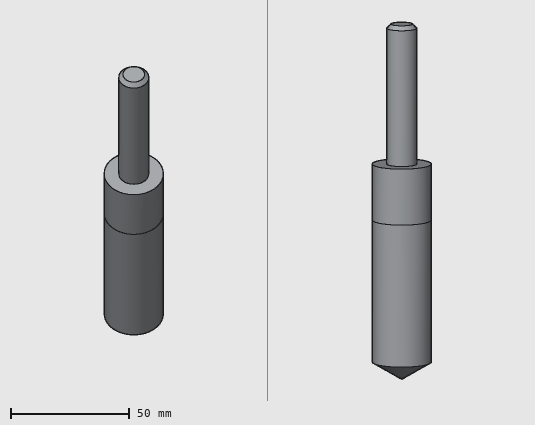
import cadquery as cq
import math

overall_length = 152.4
body_diameter = 25.0
shank_diameter = 12.7
shank_length = 60.0
shank_chamfer = 1.8
collar_length = 24.0
tip_angle = 118.0

body_radius = body_diameter / 2
shank_radius = shank_diameter / 2
tip_length = body_radius / math.tan(math.radians(tip_angle / 2))
collar_top = overall_length - shank_length
collar_bottom = collar_top - collar_length


def make_cutter():
    """Cylinder with a conical point whose tip is at the origin."""
    half_section = (
        cq.Workplane("XZ")
        .moveTo(0, 0)
        .lineTo(body_radius, tip_length)
        .lineTo(body_radius, collar_bottom)
        .lineTo(0, collar_bottom)
        .close()
    )
    return half_section.revolve(360, (0, 0, 0), (0, 1, 0))


def make_holder():
    """Collar on top of the cutter, with a thinner shank chamfered at its free end."""
    collar = cq.Workplane("XY").workplane(offset=collar_bottom).circle(body_radius).extrude(collar_length)
    shank = (
        cq.Workplane("XY")
        .workplane(offset=collar_top)
        .circle(shank_radius)
        .extrude(shank_length)
        .faces(">Z")
        .chamfer(shank_chamfer)
    )
    return collar.union(shank)


cutter = make_cutter()
holder = make_holder()

result = cq.Compound.makeCompound([cutter.val(), holder.solids().val()])